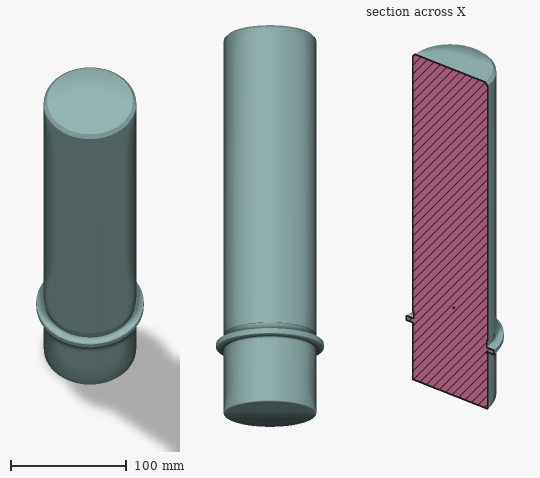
import cadquery as cq

total_length = 339.0
body_radius = 40.0
neck_radius = 39.0
collar_radius = 46.5

collar_bottom = 59.0
collar_thickness = 5.0
neck_length = 7.0

bottom_fillet = 1.0
top_chamfer = 3.0
collar_chamfer = 0.5
shank_chamfer = 1.5

collar_top = collar_bottom + collar_thickness
neck_top = collar_top + neck_length


def add_lower_shank(outline):
    """Shank below the collar: rounded lower edge, chamfered up to the collar."""
    return (
        outline
        .lineTo(body_radius - bottom_fillet, 0)
        .radiusArc((body_radius, bottom_fillet), -bottom_fillet)
        .lineTo(body_radius, collar_bottom - shank_chamfer)
        .lineTo(body_radius - shank_chamfer, collar_bottom)
    )


def add_collar(outline):
    """Thin flange with both outer edges chamfered."""
    edge_radius = collar_radius - collar_chamfer
    return (
        outline
        .lineTo(edge_radius, collar_bottom)
        .lineTo(collar_radius, collar_bottom + collar_chamfer)
        .lineTo(collar_radius, collar_top - collar_chamfer)
        .lineTo(edge_radius, collar_top)
    )


def add_neck(outline):
    """Shallow relief between the collar and the upper body."""
    return (
        outline
        .lineTo(neck_radius, collar_top)
        .lineTo(neck_radius, neck_top)
    )


def add_upper_body(outline):
    """Long cylinder above the neck with a chamfered top edge."""
    return (
        outline
        .lineTo(body_radius, neck_top)
        .lineTo(body_radius, total_length - top_chamfer)
        .lineTo(body_radius - top_chamfer, total_length)
        .lineTo(0, total_length)
    )


outline = cq.Workplane("XZ").moveTo(0, 0)
outline = add_lower_shank(outline)
outline = add_collar(outline)
outline = add_neck(outline)
outline = add_upper_body(outline)

result = outline.close().revolve(360, (0, 0, 0), (0, 1, 0))